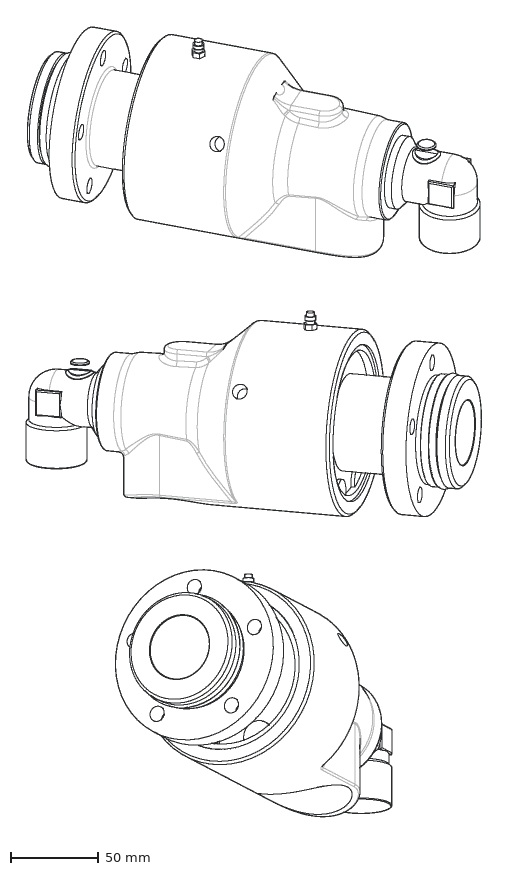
import cadquery as cq

spigot_radius = 32.55
spigot_undercut_radius = 31.6
spigot_chamfer = 1.8
seal_groove_start = 6.9
seal_groove_width = 5.3
seal_groove_radius = 30.0
seal_ring_section_radius = 2.0
seal_ring_radius = 33.5
spigot_land_end = 17.0
flange_start = 20.0
flange_end = 35.3
flange_radius = 50.0
flange_chamfer = 1.3
neck_radius = 28.07
neck_fillet = 1.5
bore_diameter = 37.5
bore_mouth_diameter = 38.2
bore_depth = 128.0
flange_hole_count = 5
flange_hole_diameter = 9.0
flange_hole_circle_radius = 40.0

housing_start = 65.5
housing_cylinder_end = 128.0
housing_radius = 54.0
housing_chamfer = 1.5
face_step_radius = 45.3
face_step_depth = 1.5
face_recess_radius = 42.0
face_recess_depth = 6.0
recess_boss_radius = 9.0
recess_boss_height = 2.0
recess_boss_y = 17.1
recess_boss_z = -38.5
cone_end = 150.5
cone_end_radius = 34.5
barrel_start = 158.5
barrel_start_radius = 31.0
barrel_end = 198.0
barrel_end_radius = 29.8
nose_start = 202.7
nose_radius = 28.5
nose_end = 213.8
nose_chamfer = 0.8

surface_tolerance = 0.003

drain_hole_diameter = 8.7
drain_hole_depth = 10.5
drain_hole_x = 121.0
drain_hole_angles = (30, 150)

foot_end = 204.3
foot_radius = 58.8 / 2
foot_end_center_x = foot_end - foot_radius
scallop_radius = 54.0
scallop_x = 169.8
scallop_top_z = -47.0
foot_fillet = 3.2
foot_bottom_fillet = 1.5

pad_top_z = 37.2
pad_half_width = 10.5
pad_end_center_x = 170.3
pad_corner_radius = pad_half_width - 0.03
pad_top_fillet = 2.0
pad_base_fillet = 3.2
pad_blend_start_x = 142.3
pad_blend_start_z = 41.5
pad_blend_end_x = 152.5

nipple_x = 93.3
nipple_root_depth = 2.6
nipple_hex_diameter = 8.0
nipple_hex_top_z = 57.2
nipple_stem_diameter = 5.3
nipple_head_bottom_z = 59.3
nipple_head_diameter = 6.3
nipple_head_top_z = 61.7
nipple_tip_diameter = 4.5
nipple_top_z = 64.0

overall_length = 263.5
outlet_diameter = 35.0
elbow_x = overall_length - outlet_diameter / 2
elbow_radius = 32.0 / 2
elbow_collar_radius = 21.22
elbow_collar_end = 218.0
elbow_taper_end = 222.5
outlet_top_z = -13.7
outlet_chamfer = 1.5
outlet_bottom_z = -38.2
outlet_bottom_chamfer = 0.5
wrench_flat_size = 15.3
wrench_flat_y = 16.3
wrench_flat_chamfer = 0.8

plug_x = 232.0
seat_base_radius = 8.2
seat_rim_radius = 6.5
seat_rim_height = 1.0
seat_flare_edge = 0.3
seat_bowl_bottom_radius = 2.6
seat_bowl_bottom_z = 10.5
disc_radius = 5.5
disc_bottom_z = 21.4
disc_thickness = 1.3
disc_chamfer = 0.8


def x_cylinder(radius, start, end):
    return cq.Workplane("YZ", origin=(start, 0, 0)).circle(radius).extrude(end - start)


def z_cylinder(radius, x, bottom, top):
    return cq.Workplane("XY", origin=(x, 0, bottom)).circle(radius).extrude(top - bottom)


def revolve_about_x(profile):
    return profile.close().revolve(360, (0, 0, 0), (1, 0, 0))


def make_rotor():
    """Spigot, flange and neck, with the seal ring and flange holes."""
    groove_end = seal_groove_start + seal_groove_width
    rotor = revolve_about_x(
        cq.Workplane("XZ")
        .lineTo(0, spigot_radius - spigot_chamfer)
        .lineTo(spigot_chamfer, spigot_radius)
        .lineTo(seal_groove_start, spigot_radius)
        .lineTo(seal_groove_start, seal_groove_radius)
        .lineTo(groove_end, seal_groove_radius)
        .lineTo(groove_end, spigot_radius)
        .lineTo(spigot_land_end, spigot_radius)
        .lineTo(spigot_land_end, spigot_undercut_radius)
        .lineTo(flange_start, spigot_undercut_radius)
        .lineTo(flange_start, flange_radius)
        .lineTo(flange_end - flange_chamfer, flange_radius)
        .lineTo(flange_end, flange_radius - flange_chamfer)
        .lineTo(flange_end, neck_radius + neck_fillet)
        .radiusArc((flange_end + neck_fillet, neck_radius), -neck_fillet)
        .lineTo(housing_start + face_recess_depth, neck_radius)
        .lineTo(housing_start + face_recess_depth, 0)
    )
    seal_ring_x = groove_end - seal_ring_section_radius
    seal_ring = (
        cq.Workplane("XZ")
        .center(seal_ring_x, seal_ring_radius - seal_ring_section_radius)
        .circle(seal_ring_section_radius)
        .revolve(360, (-seal_ring_x, seal_ring_section_radius - seal_ring_radius, 0),
                 (2.6 - seal_ring_x, seal_ring_section_radius - seal_ring_radius, 0))
    )
    holes = (
        cq.Workplane("YZ", origin=(flange_start, 0, 0))
        .polarArray(flange_hole_circle_radius, 90, 360, flange_hole_count)
        .circle(flange_hole_diameter / 2)
        .extrude(flange_end - flange_start)
    )
    return rotor.union(seal_ring).cut(holes)


def make_housing():
    """Cylinder, cone, tapered barrel and nose, with a stepped recess in the front face."""
    return revolve_about_x(
        cq.Workplane("XY")
        .moveTo(housing_start + face_recess_depth, 0)
        .lineTo(housing_start + face_recess_depth, face_recess_radius)
        .lineTo(housing_start + face_step_depth, face_recess_radius)
        .lineTo(housing_start + face_step_depth, face_step_radius)
        .lineTo(housing_start, face_step_radius)
        .lineTo(housing_start, housing_radius - housing_chamfer)
        .lineTo(housing_start + housing_chamfer, housing_radius)
        .lineTo(housing_cylinder_end, housing_radius)
        .lineTo(cone_end, cone_end_radius)
        .tangentArcPoint((barrel_start, barrel_start_radius), relative=False)
        .lineTo(barrel_end, barrel_end_radius)
        .lineTo(nose_start, nose_radius)
        .lineTo(nose_end - nose_chamfer, nose_radius)
        .lineTo(nose_end, nose_radius - nose_chamfer)
        .lineTo(nose_end, 0)
    )


def make_recess_bosses():
    """Two low round bosses on the recess floor, trimmed to the recess wall."""
    floor_x = housing_start + face_recess_depth
    bosses = (
        cq.Workplane("YZ", origin=(floor_x - recess_boss_height, 0, 0))
        .pushPoints([(-recess_boss_y, recess_boss_z), (recess_boss_y, recess_boss_z)])
        .circle(recess_boss_radius)
        .extrude(recess_boss_height)
    )
    return bosses.intersect(x_cylinder(face_recess_radius, housing_start, floor_x))


def on_surface(solid, point):
    vertex = cq.Vertex.makeVertex(*point.toTuple())
    return solid.val().Shells()[0].distance(vertex) < surface_tolerance


def blend_onto(base, addition, fillet):
    """Join the addition to the base and round the edges where they meet on the barrel."""
    joined = base.union(addition)
    meeting_edges = []
    for edge in joined.edges().vals():
        middle = edge.positionAt(0.5)
        if middle.x > cone_end and on_surface(base, middle) and on_surface(addition, middle):
            meeting_edges.append(edge)
    return joined.newObject(meeting_edges).fillet(fillet)


def make_foot():
    """Upright block with a rounded end, trimmed to the housing cylinder and scalloped below."""
    block = (
        cq.Workplane("XY", origin=(0, 0, -housing_radius))
        .moveTo(housing_cylinder_end, -foot_radius)
        .lineTo(foot_end_center_x, -foot_radius)
        .threePointArc((foot_end_center_x + foot_radius, 0), (foot_end_center_x, foot_radius))
        .lineTo(housing_cylinder_end, foot_radius)
        .close()
        .extrude(housing_radius)
    )
    block = block.intersect(x_cylinder(housing_radius, housing_cylinder_end, nose_end))
    scallop = (
        cq.Workplane("XZ")
        .center(scallop_x, scallop_top_z - scallop_radius)
        .circle(scallop_radius)
        .extrude(foot_radius, both=True)
    )
    return block.cut(scallop)


def round_foot_bottom(body):
    """Round the lower rim of the foot's curved end."""
    curved_end = cq.selectors.BoxSelector(
        (foot_end_center_x, -2.6, -housing_radius), (foot_end, 2.6, -foot_radius)
    )
    rim = body.edges(curved_end).edges(cq.selectors.LengthNthSelector(-1))
    return rim.fillet(foot_bottom_fillet)


def make_pad():
    """Flat-topped pad whose near end sweeps up along the cone."""
    side = (
        cq.Workplane("XZ")
        .moveTo(pad_end_center_x + pad_half_width, 0)
        .lineTo(pad_end_center_x + pad_half_width, pad_top_z)
        .lineTo(pad_blend_end_x, pad_top_z)
        .tangentArcPoint((pad_blend_start_x, pad_blend_start_z), relative=False)
        .lineTo(pad_blend_start_x, 0)
        .close()
        .extrude(pad_half_width, both=True)
    )
    side = side.edges("|Z").edges(">X").fillet(pad_corner_radius)
    return side.faces("+Z").edges("not(<X)").fillet(pad_top_fillet)


def drain_holes():
    holes = cq.Workplane("XY")
    for angle in drain_hole_angles:
        hole = (
            cq.Workplane("XY", origin=(drain_hole_x, 0, housing_radius - drain_hole_depth))
            .circle(drain_hole_diameter / 2)
            .extrude(2 * drain_hole_depth)
            .rotate((0, 0, 0), (1, 0, 0), angle - 90)
        )
        holes = holes.add(hole)
    return holes.combine()


def make_nipple():
    """Hexagon, stem, head and tip of the grease nipple, rooted in the housing."""
    hexagon = (
        cq.Workplane("XY", origin=(nipple_x, 0, housing_radius - nipple_root_depth))
        .polygon(6, nipple_hex_diameter)
        .extrude(nipple_hex_top_z - housing_radius + nipple_root_depth)
    )
    stem = z_cylinder(nipple_stem_diameter / 2, nipple_x, housing_radius, nipple_head_bottom_z)
    head = z_cylinder(nipple_head_diameter / 2, nipple_x, nipple_head_bottom_z, nipple_head_top_z)
    tip = z_cylinder(nipple_tip_diameter / 2, nipple_x, nipple_head_top_z, nipple_top_z)
    return hexagon.union(stem).union(head).union(tip)


def make_elbow():
    """Horizontal pipe with its collar, ball corner, outlet socket and two wrench flats."""
    pipe = revolve_about_x(
        cq.Workplane("XZ")
        .moveTo(nose_end, 0)
        .lineTo(nose_end, elbow_collar_radius)
        .lineTo(elbow_collar_end, elbow_collar_radius)
        .lineTo(elbow_taper_end, elbow_radius)
        .lineTo(elbow_x, elbow_radius)
        .lineTo(elbow_x, 0)
    )
    ball = cq.Workplane("XY", origin=(elbow_x, 0, 0)).sphere(elbow_radius)
    drop = z_cylinder(elbow_radius, elbow_x, outlet_bottom_z, 0)
    outlet = (
        z_cylinder(outlet_diameter / 2, elbow_x, outlet_bottom_z, outlet_top_z)
        .faces(">Z").chamfer(outlet_chamfer)
        .faces("<Z").chamfer(outlet_bottom_chamfer)
    )
    flats = (
        cq.Workplane("XY", origin=(elbow_x, 0, 0))
        .box(wrench_flat_size, 2 * wrench_flat_y, wrench_flat_size)
        .faces("<Y or >Y").chamfer(wrench_flat_chamfer)
    )
    return pipe.union(ball).union(drop).union(outlet).union(flats)


def add_plug_seat(elbow):
    """Low flared rim around a dished seat, following the pipe's curve."""
    rim_surface_radius = elbow_radius + seat_rim_height
    seat_reach = 2 * seat_base_radius
    flare = (
        cq.Workplane("XY", origin=(plug_x, 0, 0))
        .circle(seat_base_radius)
        .extrude(housing_radius)
        .intersect(x_cylinder(rim_surface_radius, plug_x - seat_reach, plug_x + seat_reach))
        .edges(">Z")
        .chamfer(seat_rim_height - seat_flare_edge, seat_base_radius - seat_rim_radius)
    )
    bowl = (
        cq.Workplane("XY", origin=(plug_x, 0, seat_bowl_bottom_z))
        .circle(seat_bowl_bottom_radius)
        .workplane(offset=rim_surface_radius - seat_bowl_bottom_z)
        .circle(seat_rim_radius)
        .loft()
    )
    return elbow.union(flare).cut(bowl)


def make_plug_disc():
    return (
        z_cylinder(disc_radius, plug_x, disc_bottom_z, disc_bottom_z + disc_thickness)
        .faces(">Z").chamfer(disc_chamfer)
    )


def make_bore():
    """Blind bore of the rotor tube, with a chamfered mouth."""
    bore_radius = bore_diameter / 2
    mouth_radius = bore_mouth_diameter / 2
    return revolve_about_x(
        cq.Workplane("XZ")
        .lineTo(0, mouth_radius)
        .lineTo(mouth_radius - bore_radius, bore_radius)
        .lineTo(bore_depth, bore_radius)
        .lineTo(bore_depth, 0)
    )


def make_joint():
    """Rotor, housing, foot, pad, elbow and nipple as one solid, with its bore and drain holes."""
    body = blend_onto(make_housing(), make_foot(), foot_fillet)
    body = round_foot_bottom(body)
    body = blend_onto(body, make_pad(), pad_base_fillet)
    body = body.union(make_recess_bosses())
    body = body.union(make_rotor()).union(add_plug_seat(make_elbow())).union(make_nipple())
    return body.cut(make_bore()).cut(drain_holes())


joint = make_joint()
plug_disc = make_plug_disc()
result = cq.Compound.makeCompound([joint.val(), plug_disc.val()])